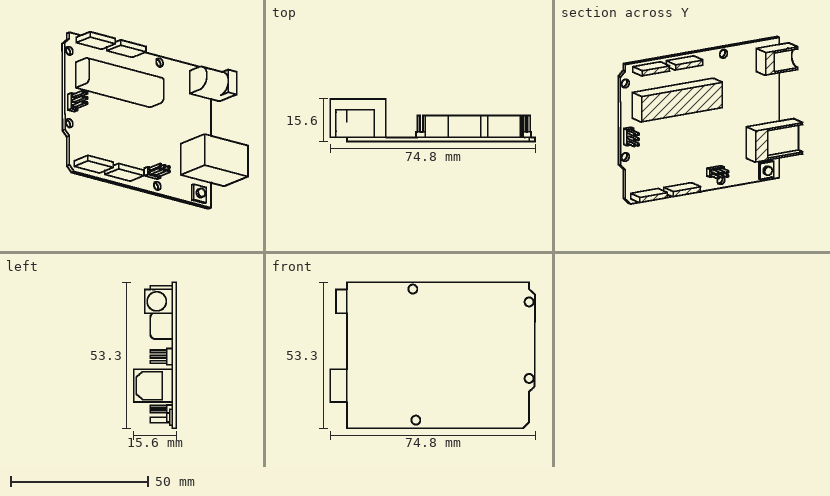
import cadquery as cq


BOARD_LENGTH = 68.7
BOARD_HEIGHT = 53.3
BOARD_THICKNESS = 1.6
SHOULDER_X = 66.5
TAB_TAPER = 0.15
TAB_TOP_Z = 48.8
TAB_BOTTOM_Z = 15.3
TAB_CHAMFER = 2.0
CORNER_CHAMFER = 2.2
MOUNTING_HOLE_DIAMETER = 3.2
MOUNTING_HOLES = [(24.1, 50.8), (66.5, 46.1), (66.5, 18.2), (25.2, 3.0)]

USB_OVERHANG = 6.1
USB_LENGTH = 20.4
USB_WIDTH = 12.0
USB_HEIGHT = 14.0
USB_BOTTOM_Z = 9.6
USB_OPENING_WIDTH = 10.2
USB_OPENING_FLOOR = 3.5
USB_OPENING_HEIGHT = 9.6
USB_OPENING_CHAMFER_HEIGHT = 2.4
USB_OPENING_CHAMFER_WIDTH = 2.0
USB_OPENING_DEPTH = 15.0

JACK_OVERHANG = 4.0
JACK_LENGTH = 14.0
JACK_FRONT_LENGTH = JACK_OVERHANG
JACK_WIDTH = 8.8
JACK_HEIGHT = 10.0
JACK_BOTTOM_Z = 41.9
JACK_BORE_DIAMETER = 7.0
JACK_BORE_DEPTH = 10.0

CHIP_X = 28.6
CHIP_LENGTH = 35.0
CHIP_WIDTH = 9.8
CHIP_HEIGHT = 8.0
CHIP_BOTTOM_Z = 32.5
CHIP_FILLET = 2.0

STRIP_LENGTH = 11.9
STRIP_GAP = 2.5
STRIP_WIDTH = 2.1
STRIP_HEIGHT = 8.0
STRIP_PAIRS = [(37.0, 49.95), (38.0, 2.0)]

HEADER_LENGTH = 6.1
HEADER_WIDTH = 3.0
HEADER_BASE_HEIGHT = 2.0
PIN_HEIGHT = 8.0
PIN_DIAMETER = 1.0
PIN_PITCH = 2.0
PIN_ROW_SPACING = 1.6
UPRIGHT_HEADER_CENTER = (65.7, 26.15)
LEVEL_HEADER_CENTER = (28.25, 7.05)

BUTTON_BASE_SIZE = 5.9
BUTTON_BASE_HEIGHT = 0.9
BUTTON_DIAMETER = 3.2
BUTTON_HEIGHT = 2.0
BUTTON_CENTER = (6.0, 4.0)


def block(x, z, length, width, height):
    """Box standing on the component side, from its lower left corner (x, z)."""
    return cq.Workplane("XY").box(length, height, width, centered=False).translate((x, BOARD_THICKNESS, z))


def centered_block(center, length, width, height):
    """Box standing on the component side, centred on (x, z)."""
    return block(center[0] - length / 2, center[1] - width / 2, length, width, height)


def post(center, diameter, height):
    """Round post standing on the component side, centred on (x, z)."""
    face = cq.Workplane("XZ", origin=(center[0], BOARD_THICKNESS, center[1]))
    return face.circle(diameter / 2).extrude(-height)


def make_board():
    outline = [
        (0, 0),
        (SHOULDER_X - CORNER_CHAMFER, 0),
        (SHOULDER_X, CORNER_CHAMFER),
        (SHOULDER_X, TAB_BOTTOM_Z - TAB_CHAMFER),
        (BOARD_LENGTH - TAB_TAPER, TAB_BOTTOM_Z),
        (BOARD_LENGTH, TAB_TOP_Z),
        (SHOULDER_X, TAB_TOP_Z + TAB_CHAMFER),
        (SHOULDER_X, BOARD_HEIGHT),
        (0, BOARD_HEIGHT),
    ]
    plate = cq.Workplane("XZ").polyline(outline).close().extrude(-BOARD_THICKNESS)
    holes = cq.Workplane("XZ").pushPoints(MOUNTING_HOLES).circle(MOUNTING_HOLE_DIAMETER / 2)
    return plate.cut(holes.extrude(-BOARD_THICKNESS))


def make_usb_socket():
    body = block(-USB_OVERHANG, USB_BOTTOM_Z, USB_LENGTH, USB_WIDTH, USB_HEIGHT)
    half_width = USB_OPENING_WIDTH / 2
    shoulder_height = USB_OPENING_HEIGHT - USB_OPENING_CHAMFER_HEIGHT
    opening_outline = [
        (0, -half_width),
        (shoulder_height, -half_width),
        (USB_OPENING_HEIGHT, -half_width + USB_OPENING_CHAMFER_WIDTH),
        (USB_OPENING_HEIGHT, half_width - USB_OPENING_CHAMFER_WIDTH),
        (shoulder_height, half_width),
        (0, half_width),
    ]
    opening_floor = BOARD_THICKNESS + USB_OPENING_FLOOR
    mouth = cq.Workplane("YZ", origin=(-USB_OVERHANG, opening_floor, USB_BOTTOM_Z + USB_WIDTH / 2))
    return body.cut(mouth.polyline(opening_outline).close().extrude(USB_OPENING_DEPTH))


def make_power_jack():
    radius = JACK_WIDTH / 2
    axis_height = JACK_HEIGHT - radius
    front = block(-JACK_OVERHANG, JACK_BOTTOM_Z, JACK_FRONT_LENGTH, JACK_WIDTH, JACK_HEIGHT)
    seat = block(-JACK_OVERHANG, JACK_BOTTOM_Z, JACK_LENGTH, JACK_WIDTH, axis_height)
    mouth = cq.Workplane(
        "YZ", origin=(-JACK_OVERHANG, BOARD_THICKNESS + axis_height, JACK_BOTTOM_Z + radius)
    )
    barrel = mouth.circle(radius).extrude(JACK_LENGTH)
    bore = mouth.circle(JACK_BORE_DIAMETER / 2).extrude(JACK_BORE_DEPTH)
    return front.union(seat).union(barrel).cut(bore)


def make_chip():
    body = block(CHIP_X, CHIP_BOTTOM_Z, CHIP_LENGTH, CHIP_WIDTH, CHIP_HEIGHT)
    return body.faces(">Y").edges("|X").fillet(CHIP_FILLET)


def make_strip_pair(x, z):
    first = block(x, z, STRIP_LENGTH, STRIP_WIDTH, STRIP_HEIGHT)
    return first.union(first.translate((STRIP_LENGTH + STRIP_GAP, 0, 0)))


def make_pin_header(center, upright):
    """Pin header with its rows along Z when upright, otherwise along X."""
    if upright:
        length, width = HEADER_WIDTH, HEADER_LENGTH
    else:
        length, width = HEADER_LENGTH, HEADER_WIDTH
    header = centered_block(center, length, width, HEADER_BASE_HEIGHT)
    for step in (-1, 0, 1):
        for side in (-0.5, 0.5):
            along = step * PIN_PITCH
            across = side * PIN_ROW_SPACING
            dx, dz = (across, along) if upright else (along, across)
            header = header.union(post((center[0] + dx, center[1] + dz), PIN_DIAMETER, PIN_HEIGHT))
    return header


def make_reset_button():
    base = centered_block(BUTTON_CENTER, BUTTON_BASE_SIZE, BUTTON_BASE_SIZE, BUTTON_BASE_HEIGHT)
    return base.union(post(BUTTON_CENTER, BUTTON_DIAMETER, BUTTON_HEIGHT))


result = make_board().union(make_usb_socket()).union(make_power_jack()).union(make_chip())
for corner_x, corner_z in STRIP_PAIRS:
    result = result.union(make_strip_pair(corner_x, corner_z))
result = result.union(make_pin_header(UPRIGHT_HEADER_CENTER, upright=True))
result = result.union(make_pin_header(LEVEL_HEADER_CENTER, upright=False))
result = result.union(make_reset_button())